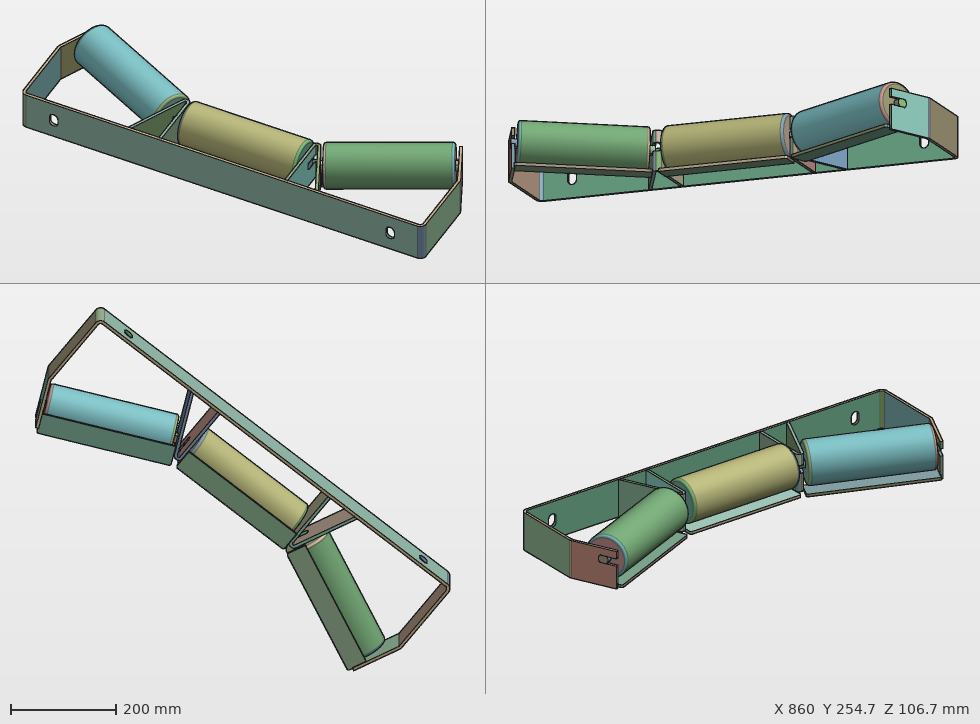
import cadquery as cq
import math

PLATE_T = 6.0
PLATE_H = 80.0
BEND_R = 12.0

FRAME_L = 860.0
FLANGE_END_Y = 247.0
MOUNT_SLOT_X = 359.5
MOUNT_SLOT_W = 18.0
MOUNT_SLOT_H = 27.5

BRACKET_REAR_Y = 129.0
APEX_BEND_R = 8.0

ROLLER_R = 45.0
ROLLER_L = 251.0
ROLLER_EDGE_R = 5.0
SHAFT_D = 21.0
SHAFT_FLATS = 15.5
SEAT_GAP = 263.0
SHAFT_L = SEAT_GAP + 2 * PLATE_T

STRIP_W = 39.5
STRIP_T = 6.0
STRIP_CORNER_R = 4.0
STRIP_DROP = 47.0

CENTER_Y = 101.0
CENTER_Z = 48.0
WING_X = 275.0
WING_Y = 162.5
WING_Z = 52.0
WING_ANGLE = 25.0
WING_RISE = 2.0

SIN = math.sin(math.radians(WING_ANGLE))
COS = math.cos(math.radians(WING_ANGLE))



def place_center(body):
    return body.translate((0, CENTER_Y, CENTER_Z))


def place_right(body):
    tilted = body.rotate((0, 0, 0), (0, 1, 0), -WING_RISE)
    turned = tilted.rotate((0, 0, 0), (0, 0, 1), WING_ANGLE)
    return turned.translate((WING_X, WING_Y, WING_Z))


def place_left(body):
    return place_right(body).mirror("YZ")


PLACES = [place_center, place_right, place_left]



def square_line_y(along, x):
    return WING_Y + along * SIN + (WING_X + along * COS - x) * COS / SIN


def square_line_x(along, y):
    return WING_X + along * COS + (WING_Y + along * SIN - y) * SIN / COS


def upright_plate(plan_points):
    return cq.Workplane("XY").polyline(plan_points).close().extrude(PLATE_H)


def round_upright_edges(body, plan_points, radius):
    for x, y in plan_points:
        edge = cq.selectors.NearestToPointSelector((x, y, PLATE_H / 2))
        body = body.edges("|Z").edges(edge).fillet(radius)
    return body


def mirrored(plan_points):
    return [(-x, y) for x, y in reversed(plan_points)]



def flat_sided_rod(length):
    rod = cq.Workplane("YZ", origin=(-length / 2, 0, 0)).circle(SHAFT_D / 2).extrude(length)
    return rod.intersect(cq.Workplane("XY").box(length, SHAFT_D, SHAFT_FLATS))


def shaft_slot(side):
    """Cutter for the slot at one shaft end: rounded around the shaft and open to the rear."""
    length = 3 * PLATE_T
    reach = 2 * STRIP_W
    opening = cq.Workplane("XY").box(length, reach, SHAFT_FLATS).translate((0, reach / 2, 0))
    cutter = flat_sided_rod(length).union(opening)
    return cutter.translate((side * (SEAT_GAP + PLATE_T) / 2, 0, 0))



def frame_half_outline(inset):
    """Right half of the frame in plan, `inset` inside its outer face."""
    side_x = FRAME_L / 2 - inset
    flange_x = square_line_x(SHAFT_L / 2, FLANGE_END_Y)
    corner = (side_x, inset)
    bend = (side_x, square_line_y(SHAFT_L / 2 - inset, side_x))
    tip = (flange_x - inset * COS, FLANGE_END_Y - inset * SIN)
    return [corner, bend, tip]


def make_frame():
    outer = frame_half_outline(0)
    inner = frame_half_outline(PLATE_T)
    frame = upright_plate(outer + inner[::-1] + mirrored(outer + inner[::-1]))
    outer_bends = outer[:2] + mirrored(outer[:2])
    inner_bends = inner[:2] + mirrored(inner[:2])
    frame = round_upright_edges(frame, outer_bends, BEND_R)
    frame = round_upright_edges(frame, inner_bends, BEND_R - PLATE_T)
    mount_slots = (
        cq.Workplane("XZ", origin=(0, 0, PLATE_H / 2))
        .pushPoints([(MOUNT_SLOT_X, 0), (-MOUNT_SLOT_X, 0)])
        .slot2D(MOUNT_SLOT_H, MOUNT_SLOT_W, 90)
        .extrude(-PLATE_T)
    )
    flange_slot = shaft_slot(1)
    return frame.cut(mount_slots).cut(place_right(flange_slot)).cut(place_left(flange_slot))


def bracket_outline(inset):
    """Right bracket in plan, `inset` inside the faces that look at the rollers."""
    center_x = SEAT_GAP / 2 + inset
    along = -SEAT_GAP / 2 - inset
    rear_y = BRACKET_REAR_Y - inset
    return [
        (center_x, PLATE_T),
        (center_x, rear_y),
        (square_line_x(along, rear_y), rear_y),
        (square_line_x(along, PLATE_T), PLATE_T),
    ]


def make_right_bracket():
    outer = bracket_outline(0)
    inner = bracket_outline(PLATE_T)
    bracket = upright_plate(outer + inner[::-1])
    bracket = round_upright_edges(bracket, outer[1:3], APEX_BEND_R)
    bracket = round_upright_edges(bracket, inner[1:3], APEX_BEND_R - PLATE_T)
    return bracket.cut(place_center(shaft_slot(1))).cut(place_right(shaft_slot(-1)))


def make_roller():
    tube = (
        cq.Workplane("YZ", origin=(-ROLLER_L / 2, 0, 0))
        .circle(ROLLER_R)
        .extrude(ROLLER_L)
        .faces("|X")
        .edges()
        .fillet(ROLLER_EDGE_R)
    )
    return tube.union(flat_sided_rod(SHAFT_L))


def make_strip():
    bar = cq.Workplane("XY").box(SEAT_GAP, STRIP_W, STRIP_T)
    bar = bar.edges("|Z and >Y").fillet(STRIP_CORNER_R)
    return bar.translate((0, STRIP_W / 2, -STRIP_DROP - STRIP_T / 2))


frame = make_frame()
right_bracket = make_right_bracket()
brackets = [right_bracket, right_bracket.mirror("YZ")]
rollers = [place(make_roller()) for place in PLACES]
strips = [place(make_strip()).cut(frame) for place in PLACES]

bodies = [frame] + brackets + rollers + strips
result = cq.Compound.makeCompound([body.solids().val() for body in bodies])